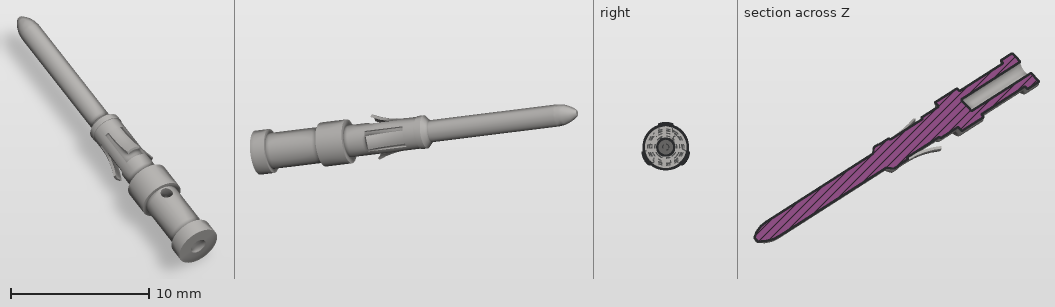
import cadquery as cq
import math

LENGTH = 24.7

TIP_FLAT_RADIUS = 0.22
NOSE_LENGTH = 1.53
PIN_DIAMETER = 1.6
PIN_RADIUS = PIN_DIAMETER / 2
SHOULDER_START = 11.31

RING_RADIUS = 1.2
RING_START = 11.7
RING_END = 12.15
SLEEVE_RADIUS = 1.15
SLEEVE_WALL = 0.15
CORE_RADIUS = SLEEVE_RADIUS - SLEEVE_WALL

COLLAR_RADIUS = 1.6
FRONT_COLLAR_START = 17.6
FRONT_COLLAR_END = 19.64
REAR_COLLAR_WIDTH = 1.09
BARREL_RADIUS = 1.3
BORE_RADIUS = 0.62
BORE_DEPTH = 5.43

SIGHT_HOLE_DIAMETER = 0.9
SIGHT_HOLE_X = 20.18
SIGHT_HOLE_Y = 0.1

TONGUE_COUNT = 3
WINDOW_START = 13.07
WINDOW_END = 16.0
WINDOW_ANGLE = 82.0
TONGUE_WIDTH = 1.0
TONGUE_BEND_RADIUS = 6.05
TONGUE_BEND_ANGLE = 25.5
TONGUE_ROOT_OVERLAP = 0.02
TONGUE_INNER_RADIUS = CORE_RADIUS - TONGUE_ROOT_OVERLAP


def turned_body():
    """Solid of revolution for the pin, sleeve and barrel."""
    nose_rise = PIN_RADIUS - TIP_FLAT_RADIUS
    nose_arc_radius = (NOSE_LENGTH**2 + nose_rise**2) / (2 * nose_rise)
    nose_mid_x = NOSE_LENGTH / 2
    nose_mid_drop = nose_arc_radius - math.sqrt(nose_arc_radius**2 - nose_mid_x**2)
    rear_collar_start = LENGTH - REAR_COLLAR_WIDTH
    return (
        cq.Workplane("XZ")
        .moveTo(0, 0)
        .lineTo(0, TIP_FLAT_RADIUS)
        .threePointArc((nose_mid_x, PIN_RADIUS - nose_mid_drop), (NOSE_LENGTH, PIN_RADIUS))
        .lineTo(SHOULDER_START, PIN_RADIUS)
        .lineTo(RING_START, RING_RADIUS)
        .lineTo(RING_END, RING_RADIUS)
        .lineTo(RING_END, SLEEVE_RADIUS)
        .lineTo(FRONT_COLLAR_START, SLEEVE_RADIUS)
        .lineTo(FRONT_COLLAR_START, COLLAR_RADIUS)
        .lineTo(FRONT_COLLAR_END, COLLAR_RADIUS)
        .lineTo(FRONT_COLLAR_END, BARREL_RADIUS)
        .lineTo(rear_collar_start, BARREL_RADIUS)
        .lineTo(rear_collar_start, COLLAR_RADIUS)
        .lineTo(LENGTH, COLLAR_RADIUS)
        .lineTo(LENGTH, 0)
        .close()
        .revolve(360, (0, 0, 0), (1, 0, 0))
    )


def wire_bore():
    """Blind bore that opens at the rear end."""
    return cq.Workplane("YZ", origin=(LENGTH - BORE_DEPTH, 0, 0)).circle(BORE_RADIUS).extrude(BORE_DEPTH)


def sight_hole():
    """Hole through the upper barrel wall into the bore."""
    return (
        cq.Workplane("XY", origin=(SIGHT_HOLE_X, SIGHT_HOLE_Y, 0))
        .circle(SIGHT_HOLE_DIAMETER / 2)
        .extrude(COLLAR_RADIUS)
    )


def window_cutter():
    """Radial-sided segment of the sleeve wall, centred on +Z."""
    half_angle = math.radians(WINDOW_ANGLE / 2)
    side_y = COLLAR_RADIUS * math.tan(half_angle)
    wedge = (
        cq.Workplane("YZ", origin=(WINDOW_START, 0, 0))
        .polyline([(0, 0), (side_y, COLLAR_RADIUS), (-side_y, COLLAR_RADIUS)])
        .close()
        .extrude(WINDOW_END - WINDOW_START)
    )
    core = cq.Workplane("YZ").circle(CORE_RADIUS).extrude(LENGTH)
    return wedge.cut(core)


def bent_tongue():
    """Strip of sleeve wall curling outwards from the window's front edge, centred on +Z."""
    half_width = TONGUE_WIDTH / 2
    outer_edge_z = math.sqrt(SLEEVE_RADIUS**2 - half_width**2)
    inner_edge_z = math.sqrt(TONGUE_INNER_RADIUS**2 - half_width**2)
    bend_axis_z = SLEEVE_RADIUS + TONGUE_BEND_RADIUS
    return (
        cq.Workplane("YZ", origin=(WINDOW_START, 0, 0))
        .moveTo(-half_width, inner_edge_z)
        .lineTo(-half_width, outer_edge_z)
        .threePointArc((0, SLEEVE_RADIUS), (half_width, outer_edge_z))
        .lineTo(half_width, inner_edge_z)
        .threePointArc((0, TONGUE_INNER_RADIUS), (-half_width, inner_edge_z))
        .close()
        .revolve(TONGUE_BEND_ANGLE, (0.25, bend_axis_z, 0), (0, bend_axis_z, 0))
    )


result = turned_body().cut(wire_bore()).cut(sight_hole())

for index in range(TONGUE_COUNT):
    turn = index * 360 / TONGUE_COUNT
    result = result.cut(window_cutter().rotate((0, 0, 0), (1, 0, 0), turn))
    result = result.union(bent_tongue().rotate((0, 0, 0), (1, 0, 0), turn))